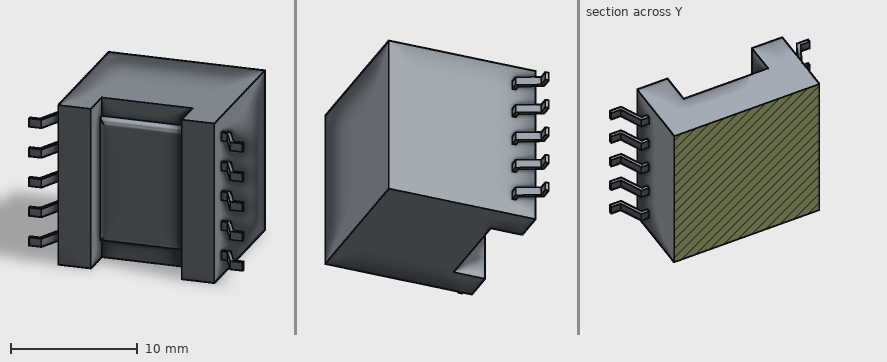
import cadquery as cq
import math

BODY_WIDTH = 13.0
BODY_DEPTH = 12.55
BODY_HEIGHT = 13.45
FRONT_Y = -BODY_DEPTH

CHANNEL_WIDTH = 7.55
CHANNEL_DEPTH = 2.7
CHANNEL_FLOOR_Y = FRONT_Y + CHANNEL_DEPTH

PAD_WIDTH = 7.58
PAD_HEIGHT = 10.37
PAD_THICKNESS = 0.71
PAD_ROUNDING = 0.51

OVERALL_WIDTH = 17.75
LEADS_PER_SIDE = 5
LEAD_PITCH = 2.5
LEAD_WIDTH = 0.7
LEAD_THICKNESS = 0.3
LEAD_RISE = 1.85
FOOT_LENGTH = 1.03
SHOULDER_LENGTH = 0.5
FOOT_OVERHANG = 0.15


def make_body():
    """Block with a channel running from bottom to top of its front face."""
    block = cq.Workplane("XY").box(BODY_WIDTH, BODY_DEPTH, BODY_HEIGHT, centered=(True, False, True))
    channel = cq.Workplane("XY").box(CHANNEL_WIDTH, CHANNEL_DEPTH, BODY_HEIGHT, centered=(True, False, True))
    return block.translate((0, FRONT_Y, 0)).cut(channel.translate((0, FRONT_Y, 0)))


def make_pad():
    """Plate spanning the channel, with the edges of its front face rounded."""
    plate = cq.Workplane("XY").box(PAD_WIDTH, PAD_THICKNESS, PAD_HEIGHT, centered=(True, False, True))
    rounded = plate.faces("<Y").edges().fillet(PAD_ROUNDING)
    return rounded.translate((0, CHANNEL_FLOOR_Y - PAD_THICKNESS, 0))


def make_right_lead():
    """Gull-wing lead of constant thickness on the +X side, centred on Z = 0."""
    wall_x = BODY_WIDTH / 2
    tip_x = OVERALL_WIDTH / 2
    foot_bend_x = tip_x - FOOT_LENGTH
    shoulder_bend_x = wall_x + SHOULDER_LENGTH
    foot_y = FRONT_Y - FOOT_OVERHANG
    shoulder_y = foot_y + LEAD_RISE

    bend_angle = math.atan2(LEAD_RISE, foot_bend_x - shoulder_bend_x)
    miter_shift = LEAD_THICKNESS * math.tan(bend_angle / 2)

    outline = [
        (tip_x, foot_y),
        (foot_bend_x, foot_y),
        (shoulder_bend_x, shoulder_y),
        (wall_x, shoulder_y),
        (wall_x, shoulder_y + LEAD_THICKNESS),
        (shoulder_bend_x + miter_shift, shoulder_y + LEAD_THICKNESS),
        (foot_bend_x + miter_shift, foot_y + LEAD_THICKNESS),
        (tip_x, foot_y + LEAD_THICKNESS),
    ]
    return cq.Workplane("XY").polyline(outline).close().extrude(LEAD_WIDTH / 2, both=True)


result = make_body().union(make_pad())

right_lead = make_right_lead()
left_lead = right_lead.mirror("YZ")
for index in range(LEADS_PER_SIDE):
    lead_z = (index - (LEADS_PER_SIDE - 1) / 2) * LEAD_PITCH
    for lead in (left_lead, right_lead):
        result = result.union(lead.translate((0, 0, lead_z)))